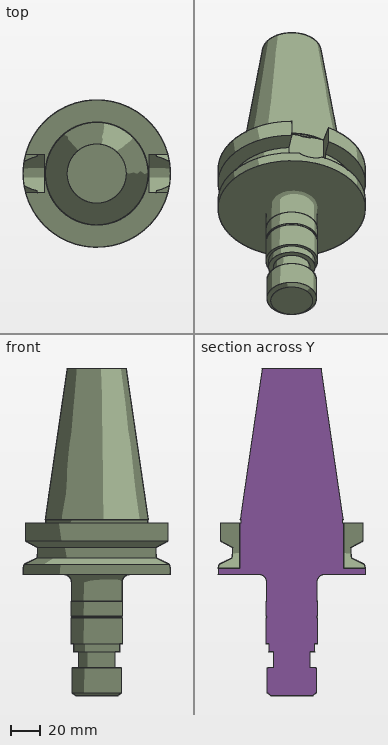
import cadquery as cq
import math

TOTAL_LENGTH = 222.0

TAPER_BASE_DIAMETER = 70.0
TAPER_RATIO = 7 / 24
TAPER_LENGTH = 102.5
TAPER_END_DIAMETER = TAPER_BASE_DIAMETER - TAPER_RATIO * TAPER_LENGTH
NECK_DIAMETER = 69.4
NECK_CHAMFER = (TAPER_BASE_DIAMETER - NECK_DIAMETER) / 2

FLANGE_DIAMETER = 100.0
FLANGE_TOP_Z = -2.2
FLANGE_BOTTOM_Z = -37.4
GROOVE_FLOOR_DIAMETER = 84.4
GROOVE_FLOOR_WIDTH = 7.0
GROOVE_CENTRE_Z = -22.5
GROOVE_WALL_ANGLE = 29.0

SLOT_WIDTH = 25.7
SLOT_FLOOR_X = 35.3
SLOT_BOTTOM_Z = -33.0
SLOT_CORNER_RADIUS = 12.5

SHANK_DIAMETER = 34.6
SHANK_FILLET = 5.0
COLLAR_DIAMETER = 35.0
COLLAR_TOP = 64.3
COLLAR_BOTTOM = 35.3
COLLAR_CHAMFER = (COLLAR_DIAMETER - SHANK_DIAMETER) / 2
COLLAR_GROOVE_DIAMETER = 33.7
COLLAR_GROOVE_CENTRE = 53.4
COLLAR_GROOVE_WIDTH = COLLAR_DIAMETER - COLLAR_GROOVE_DIAMETER
STEP_DIAMETER = 31.5
STEP_BOTTOM = 29.8
STEM_DIAMETER = 24.87
NUT_DIAMETER = 33.7
NUT_TOP_FACE_DIAMETER = 32.5
NUT_HEIGHT = 19.3
NUT_TOP_CHAMFER = (NUT_DIAMETER - NUT_TOP_FACE_DIAMETER) / 2
NUT_BOTTOM_CHAMFER = 2.0
NUT_BOTTOM_DIAMETER = 28.5

LOWER_END_Z = TAPER_LENGTH - TOTAL_LENGTH


def cylinder(diameter, bottom_z, top_z):
    """Cylinder about the Z axis between two heights."""
    return cq.Workplane("XY").workplane(offset=bottom_z).circle(diameter / 2).extrude(top_z - bottom_z)


def revolve_profile(points):
    """Solid of revolution about Z from (radius, z) points, closed along the axis."""
    start_z = points[0][1]
    end_z = points[-1][1]
    outline = [(0, start_z)] + points + [(0, end_z)]
    return cq.Workplane("XZ").polyline(outline).close().revolve(360, (0, 0, 0), (0, 1, 0))


def make_taper():
    """Taper with a 45 degree break down to the short neck above the flange."""
    return revolve_profile([
        (NECK_DIAMETER / 2, FLANGE_TOP_Z),
        (NECK_DIAMETER / 2, -NECK_CHAMFER),
        (TAPER_BASE_DIAMETER / 2, 0),
        (TAPER_END_DIAMETER / 2, TAPER_LENGTH),
    ])


def make_flange():
    outer = FLANGE_DIAMETER / 2
    floor = GROOVE_FLOOR_DIAMETER / 2
    wall_rise = (outer - floor) * math.tan(math.radians(GROOVE_WALL_ANGLE))
    floor_half = GROOVE_FLOOR_WIDTH / 2
    mouth_half = floor_half + wall_rise
    return revolve_profile([
        (outer, FLANGE_BOTTOM_Z),
        (outer, GROOVE_CENTRE_Z - mouth_half),
        (floor, GROOVE_CENTRE_Z - floor_half),
        (floor, GROOVE_CENTRE_Z + floor_half),
        (outer, GROOVE_CENTRE_Z + mouth_half),
        (outer, FLANGE_TOP_Z),
    ])


def make_drive_slot(side):
    """Round-bottomed slot cutter on the side given by the sign of X."""
    depth = FLANGE_DIAMETER / 2 - SLOT_FLOOR_X
    height = FLANGE_TOP_Z - SLOT_BOTTOM_Z
    return (
        cq.Workplane("XY")
        .box(depth, SLOT_WIDTH, height)
        .edges("|X and <Z")
        .fillet(SLOT_CORNER_RADIUS)
        .translate((side * (SLOT_FLOOR_X + depth / 2), 0, SLOT_BOTTOM_Z + height / 2))
    )


def make_shank():
    """Shank with a concave fillet running out into the underside of the flange."""
    radius = SHANK_DIAMETER / 2
    collar_z = LOWER_END_Z + COLLAR_TOP
    bend = SHANK_FILLET * (1 - math.sqrt(0.5))
    return (
        cq.Workplane("XZ")
        .moveTo(0, collar_z)
        .lineTo(radius, collar_z)
        .lineTo(radius, FLANGE_BOTTOM_Z - SHANK_FILLET)
        .threePointArc(
            (radius + bend, FLANGE_BOTTOM_Z - bend),
            (radius + SHANK_FILLET, FLANGE_BOTTOM_Z),
        )
        .lineTo(0, FLANGE_BOTTOM_Z)
        .close()
        .revolve(360, (0, 0, 0), (0, 1, 0))
    )


def make_collar():
    """Collar with a chamfered top and a 90 degree V-groove, and the step below it."""
    radius = COLLAR_DIAMETER / 2
    top_z = LOWER_END_Z + COLLAR_TOP
    bottom_z = LOWER_END_Z + COLLAR_BOTTOM
    groove_z = LOWER_END_Z + COLLAR_GROOVE_CENTRE
    groove_half = COLLAR_GROOVE_WIDTH / 2
    collar = revolve_profile([
        (radius, bottom_z),
        (radius, groove_z - groove_half),
        (COLLAR_GROOVE_DIAMETER / 2, groove_z),
        (radius, groove_z + groove_half),
        (radius, top_z - COLLAR_CHAMFER),
        (radius - COLLAR_CHAMFER, top_z),
    ])
    step = cylinder(STEP_DIAMETER, LOWER_END_Z + STEP_BOTTOM, bottom_z)
    return collar.union(step)


def make_stem_and_nut():
    nut_top_z = LOWER_END_Z + NUT_HEIGHT
    stem = cylinder(STEM_DIAMETER, nut_top_z, LOWER_END_Z + STEP_BOTTOM)
    nut = revolve_profile([
        (NUT_BOTTOM_DIAMETER / 2, LOWER_END_Z),
        (NUT_DIAMETER / 2, LOWER_END_Z + NUT_BOTTOM_CHAMFER),
        (NUT_DIAMETER / 2, nut_top_z - NUT_TOP_CHAMFER),
        (NUT_TOP_FACE_DIAMETER / 2, nut_top_z),
    ])
    return stem.union(nut)


result = make_taper().union(make_flange())
for side in (-1, 1):
    result = result.cut(make_drive_slot(side))
for section in (make_shank(), make_collar(), make_stem_and_nut()):
    result = result.union(section)